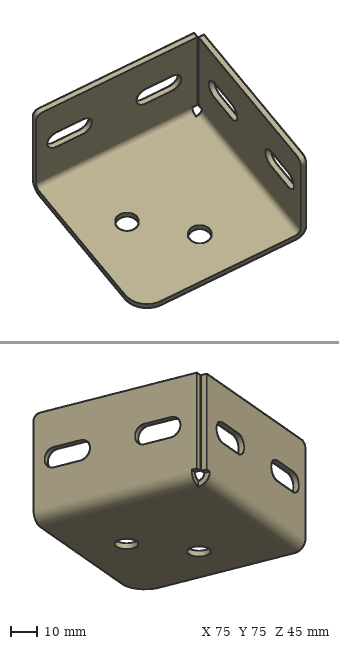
import cadquery as cq
import math

SIDE = 75.0
HEIGHT = 45.0
THICKNESS = 2.5
BEND_RADIUS = 5.0
BEND_INNER_RADIUS = BEND_RADIUS - THICKNESS

SEAM_GAP = 0.2
FLANGE_SETBACK = THICKNESS + SEAM_GAP
FLANGE_CORNER_RADIUS = 3.0
SLOT_LENGTH = 20.0
SLOT_WIDTH = 8.5
SLOT_OFFSETS = (20.0, 60.0)
SLOT_HEIGHT = 25.0

BASE_CORNER_RADIUS = 10.0
HOLE_DIAMETER = 9.0
HOLE_CENTRES = ((35.0, 20.0), (55.0, 40.0))


def make_base():
    """Flat plate between the two bend lines, with a rounded free corner."""
    length = SIDE - BEND_RADIUS
    plate = cq.Workplane("XY").box(length, length, THICKNESS, centered=False)
    plate = plate.translate((BEND_RADIUS, 0, 0))
    plate = plate.edges("|Z and >X and <Y").fillet(BASE_CORNER_RADIUS)
    holes = cq.Workplane("XY").pushPoints(HOLE_CENTRES).circle(HOLE_DIAMETER / 2).extrude(THICKNESS)
    return plate.cut(holes)


def make_bent_flange():
    """Flange and its bend along the -X side, running from the corner at +Y to Y = 0."""
    flange_length = SIDE - FLANGE_SETBACK
    flange = cq.Workplane("XY").box(THICKNESS, flange_length, HEIGHT - BEND_RADIUS, centered=False)
    flange = flange.translate((0, 0, BEND_RADIUS))
    flange = flange.edges("|X and >Z and <Y").fillet(FLANGE_CORNER_RADIUS)

    slot_centres = [(SIDE - offset, SLOT_HEIGHT) for offset in SLOT_OFFSETS]
    slots = cq.Workplane("YZ").pushPoints(slot_centres).slot2D(SLOT_LENGTH, SLOT_WIDTH).extrude(THICKNESS)

    outer_mid = BEND_RADIUS * (1 - math.sqrt(0.5))
    inner_mid = BEND_RADIUS - BEND_INNER_RADIUS * math.sqrt(0.5)
    bend = (
        cq.Workplane("XZ")
        .moveTo(0, BEND_RADIUS)
        .threePointArc((outer_mid, outer_mid), (BEND_RADIUS, 0))
        .lineTo(BEND_RADIUS, THICKNESS)
        .threePointArc((inner_mid, inner_mid), (THICKNESS, BEND_RADIUS))
        .close()
        .extrude(-(SIDE - BEND_RADIUS))
    )
    return flange.cut(slots).union(bend)


left_flange = make_bent_flange()
back_flange = left_flange.mirror("YZ").rotate((0, 0, 0), (0, 0, 1), 90).translate((SIDE, SIDE, 0))

result = make_base().union(left_flange).union(back_flange)